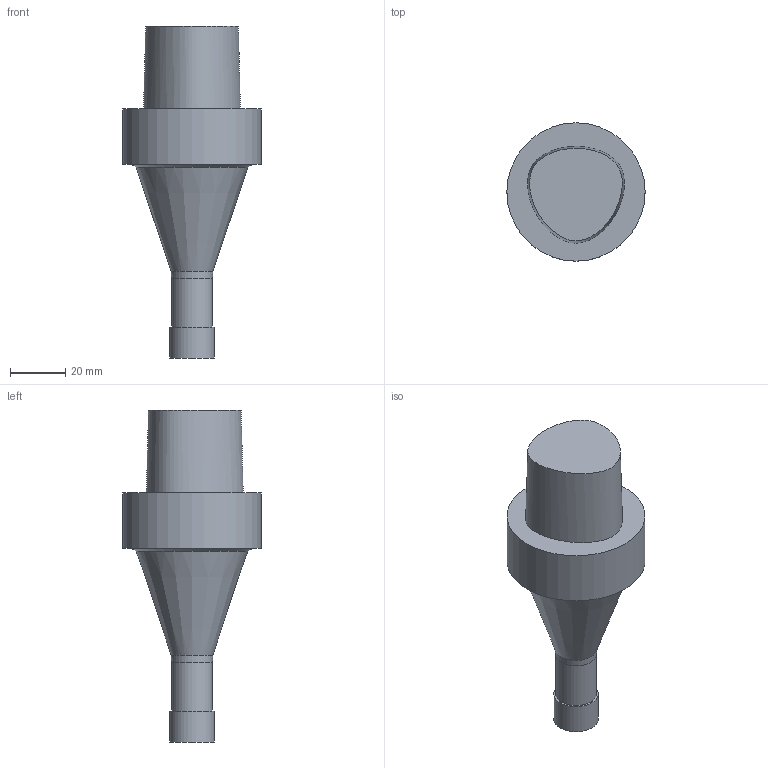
import cadquery as cq
import math

TIP_LENGTH = 11.2
NECK_TOP = 28.8
CONE_BOTTOM = 31.3
FLANGE_BOTTOM = 70.0
FLANGE_TOP = 90.0
TOTAL_HEIGHT = 120.0

TIP_DIAMETER = 16.0
NECK_DIAMETER = 14.8
FLANGE_DIAMETER = 49.98

CONE_BOTTOM_DIAMETER = 15.1
CONE_HALF_ANGLE = math.radians(18.5)
COLLAR_HEIGHT = 1.0
COLLAR_FLARE = 1.7

SHANK_BASE_WIDTH = 35.0
SHANK_TAPER = 1 / 20
LOBE_HEIGHT = 1.0
LOBE_POINTS = 36


def make_turned_body():
    """Tip, neck, cone, collar and flange, revolved about Z."""
    tip_radius = TIP_DIAMETER / 2
    neck_radius = NECK_DIAMETER / 2
    flange_radius = FLANGE_DIAMETER / 2
    cone_bottom_radius = CONE_BOTTOM_DIAMETER / 2
    cone_top = FLANGE_BOTTOM - COLLAR_HEIGHT
    cone_top_radius = cone_bottom_radius + (cone_top - CONE_BOTTOM) * math.tan(CONE_HALF_ANGLE)

    return (
        cq.Workplane("XZ")
        .lineTo(tip_radius, 0)
        .lineTo(tip_radius, TIP_LENGTH)
        .lineTo(neck_radius, TIP_LENGTH)
        .lineTo(neck_radius, NECK_TOP)
        .lineTo(cone_bottom_radius, CONE_BOTTOM)
        .lineTo(cone_top_radius, cone_top)
        .lineTo(cone_top_radius + COLLAR_FLARE, FLANGE_BOTTOM)
        .lineTo(flange_radius, FLANGE_BOTTOM)
        .lineTo(flange_radius, FLANGE_TOP)
        .lineTo(0, FLANGE_TOP)
        .close()
        .revolve(360, (0, 0), (0, 1))
    )


def lobe_point(width, angle):
    """Point of a constant-width three-lobed curve, with one lobe toward -Y."""
    across = width / 2 * math.cos(angle) + LOBE_HEIGHT * (2 * math.cos(2 * angle) - math.cos(4 * angle))
    along = width / 2 * math.sin(angle) - LOBE_HEIGHT * (2 * math.sin(2 * angle) + math.sin(4 * angle))
    return along, -across


def make_lobed_wire(width, height):
    angles = [2 * math.pi * i / LOBE_POINTS for i in range(LOBE_POINTS)]
    points = [cq.Vector(*lobe_point(width, angle), height) for angle in angles]
    return cq.Wire.assembleEdges([cq.Edge.makeSpline(points, periodic=True)])


def make_shank():
    """Lobed shank that narrows from the flange to the top face."""
    top_width = SHANK_BASE_WIDTH - SHANK_TAPER * (TOTAL_HEIGHT - FLANGE_TOP)
    base = make_lobed_wire(SHANK_BASE_WIDTH, FLANGE_TOP)
    top = make_lobed_wire(top_width, TOTAL_HEIGHT)
    return cq.Workplane(cq.Solid.makeLoft([base, top], True))


result = make_turned_body().union(make_shank())